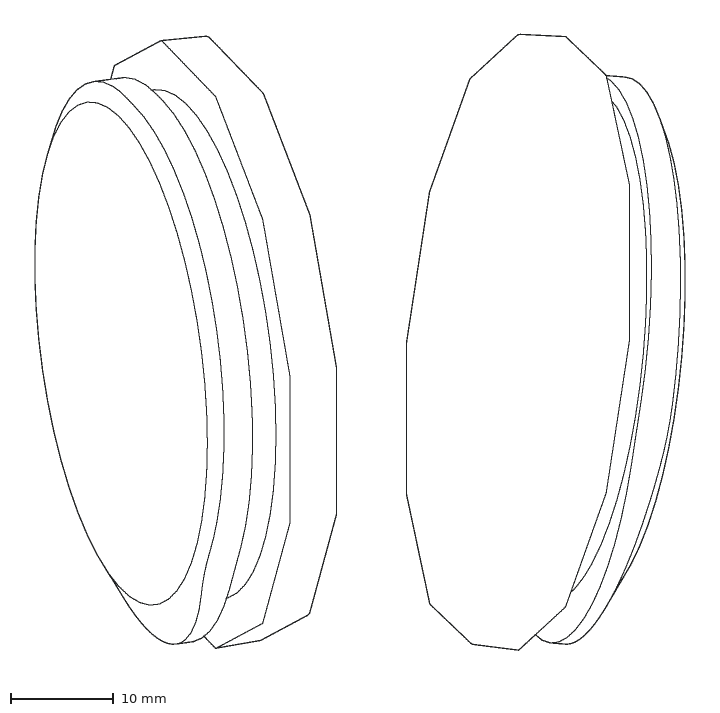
import cadquery as cq
import math


flange_sides = 12
flange_width = 57.9
flange_thickness = 5.05
flange_draft = 2.0
flange_edge_radius = 0.5

neck_diameter = 50.0
neck_length = 2.95

overall_height = 58.2
cap_thickness = 4.0
rim_radius = 25.65
rim_center_height = 0.65
rim_flat_width = 1.7
rim_side_angle = 30.0
cap_face_radius = 24.7
cap_bevel_angle = 30.0

cap_back = -neck_length
cap_front = cap_back - cap_thickness


def plane_at(y):
    """Sketch plane facing -Y at the given Y, with sketch x and y along X and Z."""
    return cq.Workplane("XZ", origin=(0, y, 0))


def make_flange():
    corner_diameter = flange_width / math.cos(math.pi / flange_sides)
    body = (
        plane_at(0)
        .transformed(rotate=(0, 0, 180 / flange_sides))
        .polygon(flange_sides, corner_diameter)
        .extrude(-flange_thickness, taper=flange_draft)
    )
    return body.edges("not <Y").fillet(flange_edge_radius)


def make_neck():
    return plane_at(0).circle(neck_diameter / 2).extrude(neck_length)


def make_cap_outline():
    """Rim with a flat top, two large arcs, straight lower sides and a bottom arc, all tangent."""
    sine = math.sin(math.radians(rim_side_angle))
    cosine = math.cos(math.radians(rim_side_angle))
    half_flat = rim_flat_width / 2
    rim_top = rim_center_height + rim_radius
    rim_bottom = overall_height - flange_width / 2

    side_distance = rim_radius + half_flat * cosine - rim_center_height * sine
    bottom_drop = (rim_bottom - side_distance) / (1 - sine)
    bottom_radius = rim_bottom - bottom_drop

    flat_end = (half_flat, rim_top)
    widest = (half_flat + rim_radius, rim_center_height)
    side_top = (half_flat + rim_radius * cosine, rim_center_height - rim_radius * sine)
    side_bottom = (bottom_radius * cosine, -bottom_drop - bottom_radius * sine)

    def mirrored(point):
        return (-point[0], point[1])

    return (
        plane_at(cap_back)
        .moveTo(*mirrored(flat_end))
        .lineTo(*flat_end)
        .threePointArc(widest, side_top)
        .lineTo(*side_bottom)
        .threePointArc((0, -rim_bottom), mirrored(side_bottom))
        .lineTo(*mirrored(side_top))
        .threePointArc(mirrored(widest), mirrored(flat_end))
        .close()
    )


def make_bevel_cone():
    """Cone that widens backwards from the edge of the front face."""
    cone_back_radius = cap_face_radius + cap_thickness / math.tan(math.radians(cap_bevel_angle))
    return (
        cq.Workplane("XY")
        .moveTo(0, cap_front)
        .lineTo(cap_face_radius, cap_front)
        .lineTo(cone_back_radius, cap_back)
        .lineTo(0, cap_back)
        .close()
        .revolve(360, (0, 0, 0), (0, 1, 0))
    )


def make_cap():
    blank = make_cap_outline().extrude(cap_thickness)
    return blank.intersect(make_bevel_cone())


result = make_flange().union(make_neck()).union(make_cap())